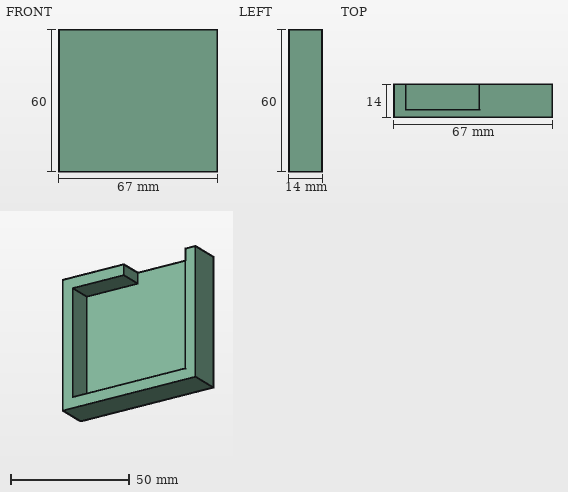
import cadquery as cq

width = 66.95
depth = 14.0
height = 60.0

plate_thickness = 3.1
rim_thickness = 5.0

notch_width = 31.1

pocket_depth = depth - plate_thickness
pocket_width = width - 2 * rim_thickness
pocket_height = height - 2 * rim_thickness


def rear_cut(cut_width, cut_height):
    """Box open at the back, starting at the inner lower-left corner of the rim."""
    cut = cq.Workplane("XY").box(cut_width, pocket_depth, cut_height, centered=False)
    return cut.translate((rim_thickness, plate_thickness, rim_thickness))


block = cq.Workplane("XY").box(width, depth, height, centered=False)

pocket = rear_cut(pocket_width, pocket_height)

notch = rear_cut(notch_width, height - rim_thickness)

result = block.cut(pocket).cut(notch)